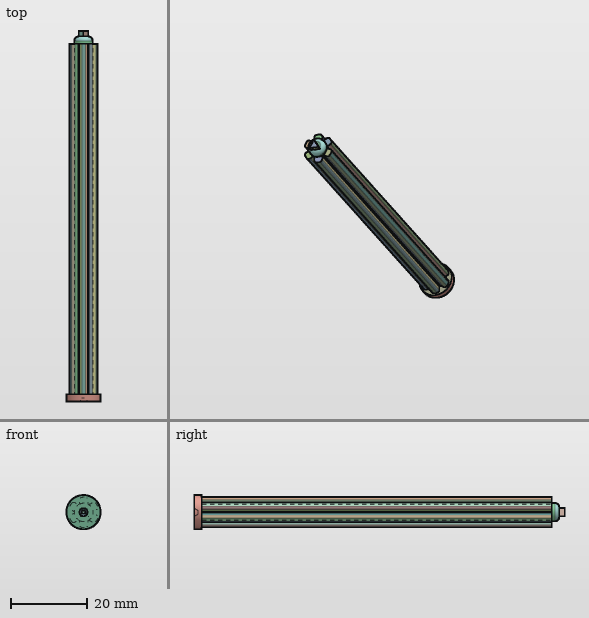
import cadquery as cq
import math

total_length = 97.0
head_diameter = 9.0
head_length = 1.9

shoulder_position = 93.6
tooth_count = 6
first_tooth_angle = 30.0
tooth_tip_radius = 4.0
tooth_width = 2.1
tooth_corner_radius = 0.7

nose_position = 95.5
nose_radius = 2.4
nose_rounding = 1.2
tip_width = 2.5

recess_mouth_radius = 1.1
recess_floor_radius = 0.5
recess_depth = 1.0


def cylinder(radius, start, end):
    """Solid cylinder on the Y axis between two Y positions."""
    return cq.Workplane("XZ", origin=(0, start, 0)).circle(radius).extrude(start - end)


def tooth(angle):
    """One full-length tooth pointing outwards at an angle from +X towards +Z."""
    half_width = tooth_width / 2
    shoulder_x = math.sqrt(tooth_tip_radius**2 - half_width**2)
    blank = (
        cq.Workplane("XZ", origin=(0, head_length, 0))
        .moveTo(0, -half_width)
        .lineTo(shoulder_x, -half_width)
        .threePointArc((tooth_tip_radius, 0), (shoulder_x, half_width))
        .lineTo(0, half_width)
        .close()
        .extrude(head_length - shoulder_position)
    )
    rounded = blank.edges("|Y").edges(">X").fillet(tooth_corner_radius)
    return rounded.rotate((0, 0, 0), (0, 1, 0), -angle)


head = cylinder(head_diameter / 2, 0, head_length)
shaft = cylinder(nose_radius, head_length, shoulder_position)
for index in range(tooth_count):
    shaft = shaft.union(tooth(first_tooth_angle + index * 360 / tooth_count))

nose = cylinder(nose_radius, shoulder_position, nose_position).faces(">Y").edges().fillet(nose_rounding)
tip_height = tip_width * math.sqrt(3) / 2
tip = (
    cq.Workplane("XZ", origin=(0, nose_position, 0))
    .moveTo(-tip_width / 2, -tip_height / 2)
    .lineTo(tip_width / 2, -tip_height / 2)
    .lineTo(0, tip_height / 2)
    .close()
    .extrude(nose_position - total_length)
)

recess = cq.Workplane(
    cq.Solid.makeCone(
        recess_mouth_radius,
        recess_floor_radius,
        recess_depth,
        pnt=cq.Vector(0, 0, 0),
        dir=cq.Vector(0, 1, 0),
    )
)

result = head.union(shaft).union(nose).union(tip).cut(recess)